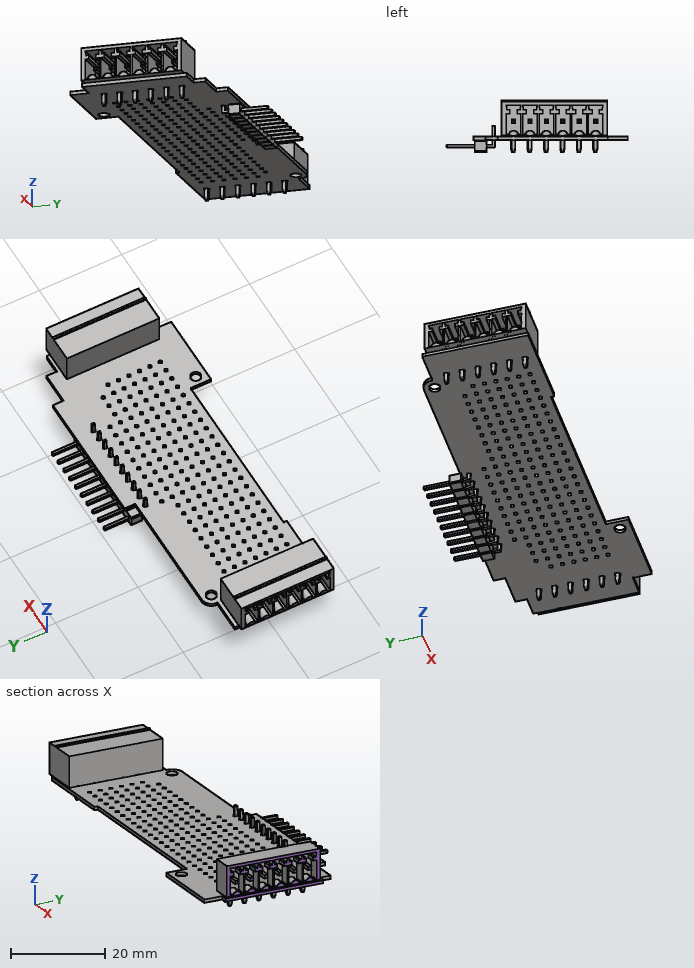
import cadquery as cq
import math

assembly_length = 86.0

board_thickness = 0.8
board_left = 1.3
board_right = 84.45
body_right = 79.8
lower_edge = 4.2
ledge_y = 27.7
upper_edge = 30.3
tab_left = 40.6
tab_right = 72.2
tab_top = 32.85
recess_left = 21.1
recess_y = 5.0
foot_left = 62.2

mounting_hole_diameter = 2.4
corner_radius = 2.4
corner_hole = (11.35, upper_edge - corner_radius)
foot_hole = (64.4, 2.5)

grid_columns = 24
grid_full_rows = 6
grid_span = 58.4
grid_pitch = grid_span / (grid_columns - 1)
grid_origin = (13.1, 7.2)
grid_hole_diameter = 0.765
short_row_columns = range(1, 23)
header_row_columns = range(10, 20)

header_pin_count = 10
header_pitch = grid_pitch
header_first_x = 39.3
header_pin_y = 28.55
header_pin_width = 0.64
header_pin_top = 3.1
header_pin_end_y = 38.6
header_pin_tip = 0.2
header_bend_radius = 0.3
header_hole_diameter = 1.0
header_front_y = 30.0
header_block_chamfer = 0.3

pole_count = 6
pole_span = 17.5
pole_pitch = pole_span / (pole_count - 1)
terminal_depth = 9.2
terminal_width = 22.45
terminal_standoff = 0.2
terminal_bottom = board_thickness + terminal_standoff
terminal_top = 8.2
left_terminal_y = 15.6
right_terminal_y = 15.7
rib_width = 0.5
rib_height = 0.3
rib_offset = 3.2

pocket_depth = 6.9
pocket_width = 3.1
pocket_floor_thickness = 0.3
pocket_floor = terminal_bottom + pocket_floor_thickness
pocket_top = 7.4
key_top = 6.45
key_bottom = 5.6
key_top_width = 2.75
key_gap = 1.55
ridge_radius = 1.0

terminal_pin_width = 0.8
terminal_pin_offset = 8.1
terminal_pin_z = 4.0
terminal_pin_setback = 2.15
terminal_pin_bottom = -header_pitch
terminal_pin_tip = 0.7
terminal_pin_tip_width = 0.4
contact_chamfer = 0.2
terminal_hole_diameter = 1.2


def header_pin_positions():
    return [(header_first_x + i * header_pitch, header_pin_y) for i in range(header_pin_count)]


def pole_offsets():
    """Y offsets of the poles from the middle of a terminal block."""
    return [i * pole_pitch - pole_span / 2 for i in range(pole_count)]


def terminal_pin_positions():
    left = [(terminal_pin_offset, left_terminal_y + y) for y in pole_offsets()]
    right = [(assembly_length - terminal_pin_offset, right_terminal_y + y) for y in pole_offsets()]
    return left + right


def grid_positions():
    rows = [range(grid_columns)] * grid_full_rows + [short_row_columns, header_row_columns]
    return [
        (grid_origin[0] + column * grid_pitch, grid_origin[1] + row * grid_pitch)
        for row, columns in enumerate(rows)
        for column in columns
    ]


def drill(board, positions, diameter):
    holes = cq.Workplane().pushPoints(positions).circle(diameter / 2).extrude(board_thickness)
    return board.cut(holes)


def make_board():
    corner_x, corner_y = corner_hole
    diagonal = corner_radius * math.sqrt(0.5)
    board = (
        cq.Workplane()
        .moveTo(board_left, lower_edge)
        .lineTo(recess_left, lower_edge)
        .lineTo(recess_left, recess_y)
        .lineTo(foot_left, recess_y)
        .lineTo(foot_left, 0)
        .lineTo(body_right, 0)
        .lineTo(body_right, lower_edge)
        .lineTo(board_right, lower_edge)
        .lineTo(board_right, ledge_y)
        .lineTo(body_right, ledge_y)
        .lineTo(body_right, upper_edge)
        .lineTo(tab_right, upper_edge)
        .lineTo(tab_right, tab_top)
        .lineTo(tab_left, tab_top)
        .lineTo(tab_left, upper_edge)
        .lineTo(corner_x, upper_edge)
        .threePointArc((corner_x - diagonal, corner_y + diagonal), (corner_x - corner_radius, corner_y))
        .lineTo(corner_x - corner_radius, ledge_y)
        .lineTo(board_left, ledge_y)
        .close()
        .extrude(board_thickness)
    )
    board = drill(board, [corner_hole, foot_hole], mounting_hole_diameter)
    board = drill(board, grid_positions(), grid_hole_diameter)
    board = drill(board, header_pin_positions(), header_hole_diameter)
    return drill(board, terminal_pin_positions(), terminal_hole_diameter)


def make_header_pin(x):
    """Square pin that rises through the board, bends under it and points to +Y."""
    half = header_pin_width / 2
    axis_z = -header_pitch / 2
    upright_length = header_pin_top - axis_z + half
    tail_length = header_pin_end_y - header_pin_y + half
    upright = (
        cq.Workplane()
        .box(header_pin_width, header_pin_width, upright_length, centered=(True, True, False))
        .translate((x, header_pin_y, axis_z - half))
        .faces(">Z")
        .chamfer(header_pin_tip)
    )
    tail = (
        cq.Workplane()
        .box(header_pin_width, tail_length, header_pin_width, centered=(True, False, True))
        .translate((x, header_pin_y - half, axis_z))
        .faces(">Y")
        .chamfer(header_pin_tip)
    )
    return upright.union(tail).edges("|X and <Y and <Z").fillet(header_bend_radius)


def make_header():
    """Insulator of one chamfered block per pin, with its pins."""
    header = cq.Workplane()
    for x, _ in header_pin_positions():
        block = (
            cq.Workplane()
            .box(header_pitch, header_pitch, header_pitch, centered=(True, False, False))
            .translate((x, header_front_y, -header_pitch))
            .edges("|Y")
            .chamfer(header_block_chamfer)
        )
        header = header.union(block).union(make_header_pin(x))
    return header


def make_pocket(y):
    """Keyed plug pocket, open at the outer face, with a round ridge along its floor."""
    ridge_half_width = math.sqrt(ridge_radius**2 - (pocket_floor - terminal_bottom) ** 2)
    half_profile = [
        (pocket_width / 2, pocket_floor),
        (pocket_width / 2, key_bottom),
        (key_gap / 2, key_bottom),
        (key_gap / 2, key_top),
        (key_top_width / 2, key_top),
        (pocket_width / 2, pocket_top),
    ]
    right_side = [(y + offset, z) for offset, z in half_profile]
    left_side = [(y - offset, z) for offset, z in reversed(half_profile)]
    return (
        cq.Workplane("YZ")
        .moveTo(y + ridge_half_width, pocket_floor)
        .polyline(right_side + left_side, includeCurrent=True)
        .lineTo(y - ridge_half_width, pocket_floor)
        .threePointArc((y, terminal_bottom + ridge_radius), (y + ridge_half_width, pocket_floor))
        .close()
        .extrude(pocket_depth)
    )


def make_terminal_pin(y):
    """Right-angle contact: horizontal in the pocket, then down through the board to a tapered tip."""
    half = terminal_pin_width / 2
    shoulder_z = terminal_pin_bottom + terminal_pin_tip
    contact = (
        cq.Workplane("YZ", origin=(terminal_pin_setback, y, terminal_pin_z))
        .rect(terminal_pin_width, terminal_pin_width)
        .extrude(terminal_pin_offset + half - terminal_pin_setback)
        .faces("<X")
        .chamfer(contact_chamfer)
    )
    leg = (
        cq.Workplane(origin=(terminal_pin_offset, y, shoulder_z))
        .rect(terminal_pin_width, terminal_pin_width)
        .extrude(terminal_pin_z + half - shoulder_z)
    )
    tip = (
        cq.Workplane(origin=(terminal_pin_offset, y, terminal_pin_bottom))
        .rect(terminal_pin_tip_width, terminal_pin_tip_width)
        .workplane(offset=terminal_pin_tip)
        .rect(terminal_pin_width, terminal_pin_width)
        .loft()
    )
    return contact.union(leg).union(tip)


def make_terminal():
    """Terminal block centred on Y = 0 with its open face at X = 0, facing -X."""
    terminal = (
        cq.Workplane()
        .box(terminal_depth, terminal_width, terminal_top - terminal_bottom, centered=(False, True, False))
        .translate((0, 0, terminal_bottom))
    )
    rib = (
        cq.Workplane()
        .box(rib_width, terminal_width, rib_height, centered=(True, True, False))
        .translate((rib_offset, 0, terminal_top))
    )
    terminal = terminal.union(rib)
    for y in pole_offsets():
        terminal = terminal.cut(make_pocket(y)).union(make_terminal_pin(y))
    return terminal


board = make_board()
header = make_header()

terminal_placements = [
    (0, left_terminal_y, 0),
    (assembly_length, right_terminal_y, 180),
]
terminals = [
    make_terminal().rotate((0, 0, 0), (0, 0, 1), angle).translate((x, y, 0))
    for x, y, angle in terminal_placements
]

result = cq.Compound.makeCompound([board.val(), header.val(), *[terminal.val() for terminal in terminals]])